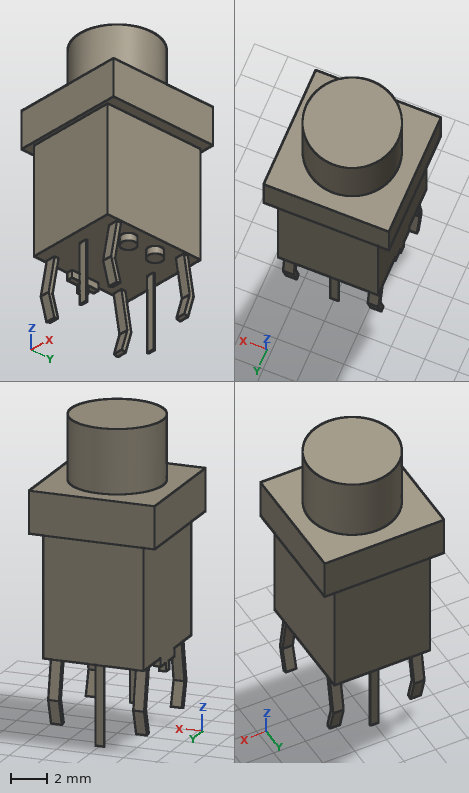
import cadquery as cq
import math

TOTAL_HEIGHT = 18.5
LONG_PIN_LENGTH = 5.0
BUTTON_DIAMETER = 5.5
BUTTON_HEIGHT = 3.8

FLANGE_SIDE = 7.5
FLANGE_HEIGHT = 2.5
BODY_X = 6.0
BODY_Y = 7.0
BODY_HEIGHT = TOTAL_HEIGHT - BUTTON_HEIGHT - FLANGE_HEIGHT - LONG_PIN_LENGTH

FOOT_DIAMETER = 1.0
FOOT_HEIGHT = 0.5
FOOT_X = 2.0
FOOT_Y = 1.0
RIB_THICKNESS = 0.4
RIB_WIDTH = 2.0
RIB_HEIGHT = FOOT_HEIGHT
KEY_WIDTH = 0.5
KEY_HEIGHT = 2 * RIB_HEIGHT

PIN_WIDTH = 0.5
PIN_THICKNESS = 0.11
SHORT_PIN_LENGTH = 4.0
PIN_Y = 2.53

LEG_WIDTH = 0.65
LEG_X = 2.53
LEG_THICKNESS = 0.3
LEG_ROOT_Y = 2.66
LEG_KNEE_Y = 3.1
LEG_TIP_Y = 2.68
LEG_KNEE_DEPTH = 2.5
LEG_DEPTH = SHORT_PIN_LENGTH


def block(size_x, size_y, height, x=0, y=0, bottom=0):
    """Rectangular block centred on (x, y) and rising from the bottom height."""
    return (
        cq.Workplane("XY")
        .box(size_x, size_y, height, centered=(True, True, False))
        .translate((x, y, bottom))
    )


def make_housing():
    """Body with a square flange, two round feet and a stepped rib on the -X edge."""
    housing = block(BODY_X, BODY_Y, BODY_HEIGHT)
    housing = housing.union(block(FLANGE_SIDE, FLANGE_SIDE, FLANGE_HEIGHT, bottom=BODY_HEIGHT))
    feet = (
        cq.Workplane("XY")
        .pushPoints([(FOOT_X, -FOOT_Y), (FOOT_X, FOOT_Y)])
        .circle(FOOT_DIAMETER / 2)
        .extrude(-FOOT_HEIGHT)
    )
    rib_x = (RIB_THICKNESS - BODY_X) / 2
    rib = block(RIB_THICKNESS, RIB_WIDTH, RIB_HEIGHT, x=rib_x, bottom=-RIB_HEIGHT)
    key = block(RIB_THICKNESS, KEY_WIDTH, KEY_HEIGHT, x=rib_x, bottom=-KEY_HEIGHT)
    return housing.union(feet).union(rib).union(key)


def make_button():
    """Round button standing on the flange."""
    return (
        cq.Workplane("XY", origin=(0, 0, BODY_HEIGHT + FLANGE_HEIGHT))
        .circle(BUTTON_DIAMETER / 2)
        .extrude(BUTTON_HEIGHT)
    )


def make_pin(y, length):
    """Flat straight contact pin hanging from the housing."""
    return block(PIN_WIDTH, PIN_THICKNESS, length, y=y, bottom=-length)


def make_leg(x, side):
    """Strip bowed outward toward side (+1 or -1) along Y, with a square-cut tip."""
    upper_angle = math.atan2(LEG_KNEE_Y - LEG_ROOT_Y, LEG_KNEE_DEPTH)
    lower_angle = math.atan2(LEG_KNEE_Y - LEG_TIP_Y, LEG_DEPTH - LEG_KNEE_DEPTH)

    root_offset = LEG_THICKNESS / math.cos(upper_angle)
    half_bend = (upper_angle + lower_angle) / 2
    bisector = (upper_angle - lower_angle) / 2
    knee_offset = LEG_THICKNESS / math.cos(half_bend)
    outline = [
        (LEG_ROOT_Y, 0),
        (LEG_KNEE_Y, -LEG_KNEE_DEPTH),
        (LEG_TIP_Y, -LEG_DEPTH),
        (
            LEG_TIP_Y - LEG_THICKNESS * math.cos(lower_angle),
            -LEG_DEPTH + LEG_THICKNESS * math.sin(lower_angle),
        ),
        (
            LEG_KNEE_Y - knee_offset * math.cos(bisector),
            -LEG_KNEE_DEPTH - knee_offset * math.sin(bisector),
        ),
        (LEG_ROOT_Y - root_offset, 0),
    ]
    return (
        cq.Workplane("YZ", origin=(x, 0, 0))
        .polyline([(side * y, z) for y, z in outline])
        .close()
        .extrude(LEG_WIDTH / 2, both=True)
    )


housing = make_housing()
button = make_button()
pins = [
    make_pin(y, length)
    for y, length in [(PIN_Y, LONG_PIN_LENGTH), (-PIN_Y, SHORT_PIN_LENGTH)]
]
legs = [make_leg(x, side) for x in (-LEG_X, LEG_X) for side in (-1, 1)]

result = cq.Compound.makeCompound(
    [housing.val(), button.val()] + [body.val() for body in pins + legs]
)